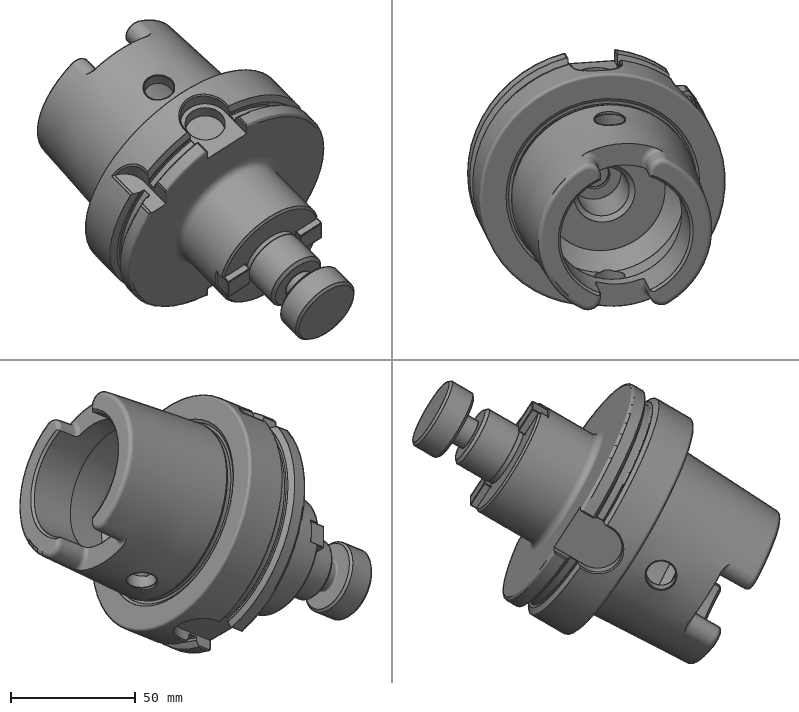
import cadquery as cq
import math

total_length = 143.2

shank_length = 50.0
gauge_radius = 37.8
taper_slope = 0.05
shank_edge_round = 1.7

relief_length = 2.0
relief_face_depth = 0.7
relief_bottom_radius = 37.1
relief_step_radius = 38.4
relief_outer_radius = 39.5

mouth_radius = 27.5
bore_radius = 26.5
lip_length = 19.8
cavity_radius = 31.5
clamp_angle = 60.0
cavity_floor_radius = 24.8
cavity_wall_end = -9.7
cavity_floor = cavity_wall_end + cavity_radius - cavity_floor_radius

coolant_mouth_radius = 24.9 / 2
coolant_radius = 21.0 / 2
coolant_end = 17.2

access_radius = 12.0 / 2
access_mouth_radius = 12.7 / 2
access_x = -15.0

drive_slots = ((1, 10.0), (-1, 14.5))
drive_slot_half_width = 10.0
drive_slot_inner_z = 17.2
drive_slot_wall_round = 5.0
drive_slot_corner_round = 1.7

flange_radius = 100.0 / 2
flange_width = 29.0
flange_edge_round = 1.1

groove_x = 19.9
groove_floor_radius = 46.0
groove_floor_width = 3.7
groove_mouth_width = 6.6
groove_flank_angle = 30.0
groove_corner_round = 0.5

keyway_half_width = 10.0
keyway_x = 14.9
keyway_floor = 44.0
keyway_rim_chamfer = 0.6
notch_offset = 31.2
chip_hole_radius = 16.0 / 2
chip_hole_depth = 5.5

nose_radius = 24.9
nose_end = 57.1
nose_root_round = 3.0
nose_chamfer = 0.9
pilot_radius = 25.3 / 2
pilot_neck_radius = 24.9 / 2
pilot_neck_end = nose_end + 2.0
pilot_end = 74.7
pilot_chamfer = 1.3

key_width = 10.0
key_start = 52.8
key_end = 60.1
key_inner = 12.9
key_outer = 23.9
key_chamfer = 0.3

thread_radius = 12.0 / 2
thread_start = coolant_end + 1.5
thread_chamfer = 0.36
screw_neck_radius = 12.7 / 2
screw_neck_round = 0.7
screw_head_radius = 29.9 / 2
screw_head_chamfer = 1.0
screw_end = total_length - shank_length
screw_head_start = screw_end - 11.6

TOLERANCE = 0.01


def turn(outline):
    """Solid of revolution about the X axis from a closed outline in the XY plane."""
    return outline.close().revolve(360, (0, 0, 0), (1, 0, 0))


def turned(points):
    """Solid of revolution about the X axis from straight-sided (x, radius) points."""
    return turn(cq.Workplane("XY").polyline(points))


def rod(radius, start, end):
    """Cylinder on the X axis."""
    return cq.Workplane("YZ", origin=(start, 0, 0)).circle(radius).extrude(end - start)


def nearest(x, y, z):
    return cq.selectors.NearestToPointSelector((x, y, z))


def taper_radius(x):
    """Outside radius of the taper shank at x."""
    return gauge_radius + taper_slope * x


def drive_slot(side, depth):
    """Straight-walled cutter for the slot on the side * Z side of the shank mouth."""
    height = gauge_radius
    return (
        cq.Workplane("XY")
        .box(depth, 2 * drive_slot_half_width, height, centered=(False, True, True))
        .translate((-shank_length, 0, side * (drive_slot_inner_z + height / 2)))
    )


def make_shank():
    """Solid taper with rounded drive slots in its end, reaching to the flange face."""
    taper = turned([
        (-shank_length, 0),
        (-shank_length, taper_radius(-shank_length)),
        (0, gauge_radius),
        (0, 0),
    ])
    for side, depth in drive_slots:
        taper = taper.cut(drive_slot(side, depth))
    for side, depth in drive_slots:
        for y in (drive_slot_half_width, -drive_slot_half_width):
            slot_middle = -shank_length + depth / 2
            rim_z = math.sqrt(taper_radius(slot_middle) ** 2 - y ** 2)
            wall_rim = taper.edges(nearest(slot_middle, y, side * rim_z))
            taper = wall_rim.fillet(drive_slot_wall_round)

            slot_end = -shank_length + depth
            wall_z = (drive_slot_inner_z + bore_radius) / 2
            corner = taper.edges(nearest(slot_end, y, side * wall_z))
            taper = corner.fillet(drive_slot_corner_round)
    return taper.faces("<X").edges().fillet(shank_edge_round)


def keyway(y, floor):
    """Cutter above z = floor, open towards +X, with a round end about a Z axis."""
    w = keyway_half_width
    profile = (
        cq.Workplane("XY", origin=(0, y, floor))
        .moveTo(flange_width, -w)
        .lineTo(keyway_x, -w)
        .radiusArc((keyway_x, w), w)
        .lineTo(flange_width, w)
        .close()
    )
    return profile.extrude(flange_radius)


def is_cut_rim(edge):
    """True for an edge of a keyway or notch that lies on the flange's outside surface."""
    on_outside = all(
        abs(math.hypot(point.y, point.z) - flange_radius) < TOLERANCE
        for point in edge.positions([0, 0.3, 1])
    )
    seam_line = abs(edge.BoundingBox().xlen - flange_width) < TOLERANCE
    end_rim = edge.BoundingBox().xlen < TOLERANCE
    return on_outside and not seam_line and not end_rim


def make_flange():
    """Flange disc with two keyways, an index notch and the gripper groove."""
    disc = rod(flange_radius, 0, flange_width)
    rounded_disc = disc.edges().fillet(flange_edge_round)
    top_keyway = keyway(0, keyway_floor)
    notch = keyway(-notch_offset - keyway_half_width, notch_offset)
    for cutter in (top_keyway, top_keyway.mirror("XY"), notch):
        disc = disc.cut(cutter)
    rims = [edge for edge in disc.edges().vals() if is_cut_rim(edge)]
    disc = disc.newObject(rims).chamfer(keyway_rim_chamfer)
    return disc.intersect(rounded_disc).cut(gripper_groove())


def gripper_groove():
    """Ring cutter: narrow groove with flared flanks and rounded floor corners."""
    half_mouth = groove_mouth_width / 2
    left = groove_x - groove_floor_width / 2
    right = groove_x + groove_floor_width / 2
    flank_run = (groove_mouth_width - groove_floor_width) / 2
    flank_radius = flange_radius - flank_run / math.tan(math.radians(groove_flank_angle))
    floor = groove_floor_radius
    r = groove_corner_round
    return turn(
        cq.Workplane("XY")
        .moveTo(groove_x - half_mouth, flange_radius)
        .lineTo(left, flank_radius)
        .lineTo(left, floor + r)
        .radiusArc((left + r, floor), -r)
        .lineTo(right - r, floor)
        .radiusArc((right, floor + r), -r)
        .lineTo(right, flank_radius)
        .lineTo(groove_x + half_mouth, flange_radius)
    )


def make_nose():
    """Nose, pilot neck and pilot, with a rounded root against the flange."""
    r = nose_root_round
    root = turn(
        cq.Workplane("XY")
        .moveTo(flange_width, 0)
        .lineTo(flange_width, nose_radius + r)
        .radiusArc((flange_width + r, nose_radius), -r)
        .lineTo(flange_width + r, 0)
    )
    nose = rod(nose_radius, flange_width, nose_end).faces(">X").chamfer(nose_chamfer)
    neck = rod(pilot_neck_radius, nose_end, pilot_neck_end)
    pilot = rod(pilot_radius, pilot_neck_end, pilot_end).faces(">X").chamfer(pilot_chamfer)
    return nose.union(root).union(neck).union(pilot)


def face_relief():
    """Ring cutter for the undercut between the shank and the flange face."""
    return turned([
        (-relief_length, taper_radius(-relief_length)),
        (-relief_length / 2, relief_bottom_radius),
        (relief_face_depth, relief_bottom_radius),
        (relief_face_depth, relief_step_radius),
        (0, relief_outer_radius),
        (-relief_length, relief_outer_radius),
    ])


def shank_bore():
    """Stepped bore: chamfered lip, clamping cone, cavity and coolant bore."""
    lip_start = -shank_length + mouth_radius - bore_radius
    lip_end = -shank_length + lip_length
    cone_length = (cavity_radius - bore_radius) / math.tan(math.radians(clamp_angle))
    return turned([
        (-shank_length, 0),
        (-shank_length, mouth_radius),
        (lip_start, bore_radius),
        (lip_end, bore_radius),
        (lip_end + cone_length, cavity_radius),
        (cavity_wall_end, cavity_radius),
        (cavity_floor, cavity_floor_radius),
        (cavity_floor, coolant_mouth_radius),
        (cavity_floor + coolant_mouth_radius - coolant_radius, coolant_radius),
        (coolant_end, coolant_radius),
        (coolant_end, 0),
    ])


def access_hole():
    """Cutter along Z through both shank walls, widened where it meets the outside."""
    surface_z = taper_radius(access_x)
    widening = access_mouth_radius - access_radius
    hole = cq.Workplane("XY", origin=(access_x, 0, 0)).circle(access_radius)
    hole = hole.extrude(gauge_radius, both=True)
    mouth = (
        cq.Workplane("XY", origin=(access_x, 0, surface_z - 2 * widening))
        .circle(access_mouth_radius)
        .extrude(4 * widening)
    )
    return hole.union(mouth).union(mouth.mirror("XY"))


def chip_hole():
    """Blind hole in the floor of the +Z keyway."""
    bottom = cq.Workplane("XY", origin=(keyway_x, 0, keyway_floor - chip_hole_depth))
    return bottom.circle(chip_hole_radius).extrude(chip_hole_depth)


def key_block(side, outer):
    """Block on the side * Y side of the axis, from the inner key end out to the given distance."""
    centre = ((key_start + key_end) / 2, side * (key_inner + outer) / 2, 0)
    size = (key_end - key_start, outer - key_inner, key_width)
    return cq.Workplane("XY", origin=centre).box(*size)


def make_holder():
    holder = make_shank().union(make_flange()).union(make_nose())
    holder = holder.cut(face_relief())
    holder = holder.cut(shank_bore())
    holder = holder.cut(access_hole())
    holder = holder.cut(chip_hole())
    holder = holder.cut(rod(thread_radius, coolant_end, pilot_end))
    for side in (1, -1):
        key_slot = key_block(side, nose_radius)
        holder = holder.cut(key_slot)
    return holder


def make_key(side):
    return key_block(side, key_outer).edges().chamfer(key_chamfer)


def make_screw():
    """Screw with a thread filling the pilot hole, a bare neck and a round head."""
    head = rod(screw_head_radius, screw_head_start, screw_end)
    head = head.edges().chamfer(screw_head_chamfer)
    screw = head.union(rod(screw_neck_radius, pilot_end, screw_head_start))
    neck_circles = screw.edges(cq.selectors.RadiusNthSelector(0))
    screw = neck_circles.edges(">X").fillet(screw_neck_round)
    thread = rod(thread_radius, thread_start, pilot_end).faces("<X").chamfer(thread_chamfer)
    return screw.union(thread)


holder = make_holder()
keys = [make_key(side) for side in (1, -1)]
screw = make_screw()

result = cq.Compound.makeCompound([
    holder.solids().val(),
    *[key.solids().val() for key in keys],
    screw.solids().val(),
])